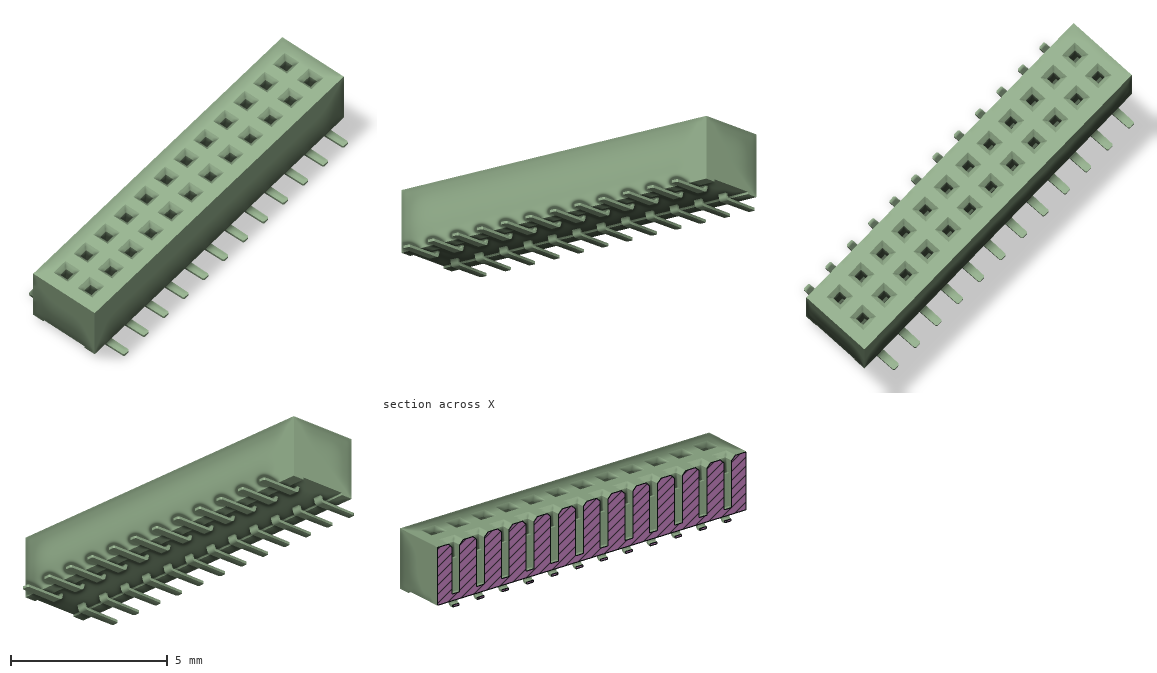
import cadquery as cq

body_length = 12.5
body_width = 2.54
total_height = 2.25
standoff = 0.15
foot_width = 0.42
foot_height = 0.08
recess_roof = standoff + foot_height

pitch = 1.0
row_count = 12
row_places = [(row - (row_count - 1) / 2) * pitch for row in range(row_count)]
column_x = pitch / 2

mouth_size = 0.6
bore_size = 0.3
funnel_depth = 0.15
floor_thickness = 0.25
bore_floor = recess_roof + floor_thickness
bore_depth = total_height - bore_floor

strip = 0.09
lead_span = 3.95
lead_root_width = 0.3
lead_tip_width = 0.26
tip_chamfer = 0.04
post_inner_x = 0.45
heel_x = 0.51
leg_spread = 0.06
bend_radius = 0.04
post_depth = 0.62
post_top = total_height - post_depth


def make_housing():
    """Block with a full-length recess between its two feet."""
    block = cq.Workplane("XY").workplane(offset=standoff).rect(body_width, body_length).extrude(
        total_height - standoff)
    recess = cq.Workplane("XY").workplane(offset=standoff).rect(
        body_width - 2 * foot_width, body_length).extrude(foot_height)
    return block.cut(recess)


def make_socket():
    """Tapered mouth leading into a square blind bore, for the +X column at Y = 0."""
    top = cq.Workplane("XY", origin=(column_x, 0, total_height))
    funnel = top.rect(mouth_size, mouth_size).workplane(offset=-funnel_depth).rect(
        bore_size, bore_size).loft(ruled=True)
    bore = top.rect(bore_size, bore_size).extrude(-bore_depth)
    return funnel.union(bore)


def make_contact():
    """Flat solder tail, sloping leg and upright post, for the +X column at Y = 0."""
    tail_end = lead_span / 2
    post_outer_x = post_inner_x + strip
    side_profile = (
        cq.Workplane("XZ")
        .moveTo(tail_end, 0)
        .lineTo(heel_x, 0)
        .lineTo(post_inner_x, recess_roof)
        .lineTo(post_inner_x, post_top)
        .lineTo(post_outer_x, post_top)
        .lineTo(post_outer_x, recess_roof)
        .lineTo(heel_x + leg_spread, strip)
        .lineTo(tail_end, strip)
        .close()
        .extrude(lead_root_width / 2, both=True)
        .edges(cq.selectors.NearestToPointSelector((heel_x + leg_spread, 0, strip)))
        .fillet(bend_radius)
        .edges(cq.selectors.NearestToPointSelector((heel_x, 0, 0)))
        .fillet(bend_radius + strip)
    )
    plan_outline = (
        cq.Workplane("XY")
        .moveTo(post_inner_x, -lead_root_width / 2)
        .lineTo(heel_x, -lead_root_width / 2)
        .lineTo(tail_end, -lead_tip_width / 2)
        .lineTo(tail_end, lead_tip_width / 2)
        .lineTo(heel_x, lead_root_width / 2)
        .lineTo(post_inner_x, lead_root_width / 2)
        .close()
        .extrude(total_height)
        .edges("|Z and >X")
        .chamfer(tip_chamfer)
    )
    return side_profile.intersect(plan_outline)


def repeat_on_grid(feature):
    """Place a +X column feature at every row, mirrored into the -X column."""
    one_row = [feature.val(), feature.mirror("YZ").val()]
    return [shape.translate(cq.Vector(0, y, 0)) for y in row_places for shape in one_row]


housing = make_housing().val().cut(*repeat_on_grid(make_socket()))
contacts = repeat_on_grid(make_contact())
result = cq.Workplane(housing.fuse(*contacts))